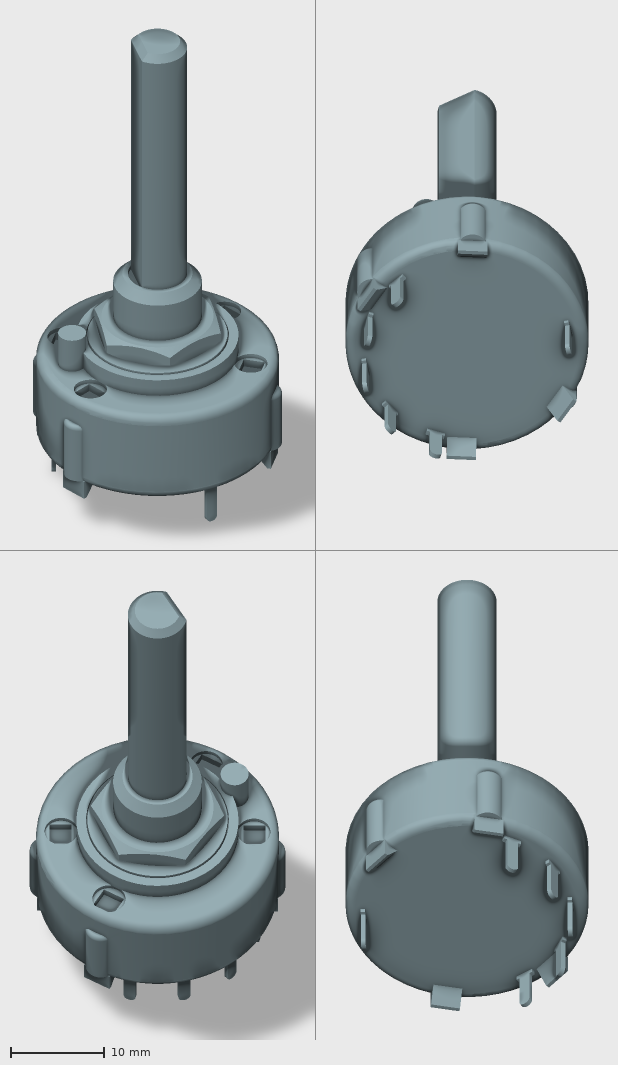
import cadquery as cq
import math


body_dia = 26.0
body_height = 10.5
body_edge_radius = 1.0

boss_dia = 17.35
boss_height = 2.0
boss_top = body_height + boss_height
washer_seat_dia = 15.3
washer_seat_depth = 0.5
washer_dia = 15.0
washer_rise = 0.15
washer_top = boss_top + washer_rise

nut_across_corners = 14.35
nut_height = 2.3
nut_top = washer_top + nut_height
nut_turn = -5.0
nut_chamfer_dia = 12.0
nut_chamfer_angle = 30.0

bushing_dia = 9.5
bushing_height = 10.0
bushing_top = body_height + bushing_height
bushing_chamfer = 1.0

shaft_dia = 6.35
shaft_length = 30.0
shaft_top = bushing_top + shaft_length
shaft_flat_offset = 2.35
shaft_chamfer = 0.75
shaft_well_depth = 0.5

locator_dia = 3.0
locator_offset = 9.5
locator_height = 4.0
locator_top = body_height + locator_height

clip_angles = (60, 120, 240, 300)
window_dia = 3.55
window_radius = 10.31
window_depth = 0.5
window_pocket_width = 2.5
window_pocket_length = 2.35
window_pocket_shift = 0.07
window_pocket_depth = 0.9
post_dia = 3.25
post_radius = 12.05
post_bottom = 0.5
post_top = 7.5
post_edge_radius = 0.5
foot_width = 3.14
foot_outer_radius = 12.9
foot_tip_thickness = 0.4
foot_bottom = -1.7
foot_ramp_run = 1.35

terminal_angles = (15, 135, 165, 195, 225, 255)
terminal_circle_radius = 11.1
terminal_width = 1.3
terminal_thickness = 0.5
terminal_length = 5.0
terminal_tip_radius = 0.62
shoulder_width = 2.0
shoulder_height = 0.5

overlap = 0.5


def cylinder(diameter, bottom, top):
    return cq.Workplane("XY").workplane(offset=bottom).circle(diameter / 2).extrude(top - bottom)


def box_between(width_x, width_y, bottom, top):
    return cq.Workplane("XY").workplane(offset=bottom).rect(width_x, width_y).extrude(top - bottom)


def turn_to(shape, angle):
    """Turn a feature modelled on the +X axis to an angle around Z."""
    return shape.rotate((0, 0, 0), (0, 0, 1), angle)


def make_body():
    body = cylinder(body_dia, 0, body_height).edges().fillet(body_edge_radius)
    boss = cylinder(boss_dia, body_height - overlap, boss_top)
    seat = cylinder(washer_seat_dia, boss_top - washer_seat_depth, boss_top)
    washer = cylinder(washer_dia, boss_top - washer_seat_depth - overlap, washer_top)
    locator = cylinder(locator_dia, body_height - overlap, locator_top)
    locator = locator.translate((0, -locator_offset, 0))
    return body.union(boss).cut(seat).union(washer).union(locator)


def make_nut():
    bottom = washer_top
    hexagon = cq.Workplane("XY").workplane(offset=bottom).polygon(6, nut_across_corners)
    hexagon = turn_to(hexagon.extrude(nut_top - bottom), nut_turn)
    corner_radius = nut_across_corners / 2
    face_radius = nut_chamfer_dia / 2
    drop = (corner_radius - face_radius) * math.tan(math.radians(nut_chamfer_angle))
    envelope = (
        cq.Workplane("XZ")
        .moveTo(0, bottom)
        .lineTo(face_radius, bottom)
        .lineTo(corner_radius, bottom + drop)
        .lineTo(corner_radius, nut_top - drop)
        .lineTo(face_radius, nut_top)
        .lineTo(0, nut_top)
        .close()
        .revolve(360, (0, 0, 0), (0, 1, 0))
    )
    return hexagon.intersect(envelope)


def make_bushing():
    bushing = cylinder(bushing_dia, boss_top - overlap, bushing_top)
    bushing = bushing.faces(">Z").edges().chamfer(bushing_chamfer)
    return bushing.cut(cylinder(shaft_dia, bushing_top - shaft_well_depth, bushing_top))


def make_shaft():
    bottom = bushing_top - shaft_well_depth - overlap
    shaft = cylinder(shaft_dia, bottom, shaft_top)
    removed = box_between(shaft_dia, shaft_dia, bottom, shaft_top)
    shaft = shaft.cut(removed.translate((0, -shaft_flat_offset - shaft_dia / 2, 0)))
    return shaft.faces(">Z").edges().chamfer(shaft_chamfer)


def make_clip():
    """Round post on the body side above a hooked foot with an inward ramp."""
    post = cylinder(post_dia, post_bottom, post_top)
    post = post.faces(">Z").edges().fillet(post_edge_radius)
    post = post.translate((post_radius, 0, 0))
    tip_radius = foot_outer_radius - foot_tip_thickness
    ramp_radius = tip_radius - foot_ramp_run
    foot = (
        cq.Workplane("XZ")
        .moveTo(foot_outer_radius, foot_bottom)
        .lineTo(foot_outer_radius, post_bottom)
        .lineTo(ramp_radius, post_bottom)
        .lineTo(ramp_radius, 0)
        .lineTo(tip_radius, foot_bottom)
        .close()
        .extrude(foot_width / 2, both=True)
    )
    return post.union(foot)


def make_window():
    """Round recess with a deeper rectangular pocket in its floor."""
    recess_floor = body_height - window_depth
    recess = cylinder(window_dia, recess_floor, body_height)
    pocket_floor = recess_floor - window_pocket_depth
    pocket = box_between(window_pocket_length, window_pocket_width, pocket_floor, body_height)
    pocket = pocket.translate((window_pocket_shift, 0, 0))
    return recess.union(pocket).translate((window_radius, 0, 0))


def make_terminal():
    """Flat blade with a rounded tip, hanging from a wider shoulder."""
    blade = box_between(terminal_thickness, terminal_width, -terminal_length, overlap)
    blade = blade.faces("<Z").edges("|X").fillet(terminal_tip_radius)
    shoulder = box_between(terminal_thickness, shoulder_width, -shoulder_height, overlap)
    return blade.union(shoulder).translate((terminal_circle_radius, 0, 0))


result = make_body().union(make_nut()).union(make_bushing()).union(make_shaft())
for clip_angle in clip_angles:
    result = result.union(turn_to(make_clip(), clip_angle))
    result = result.cut(turn_to(make_window(), clip_angle))
for terminal_angle in terminal_angles:
    result = result.union(turn_to(make_terminal(), terminal_angle))